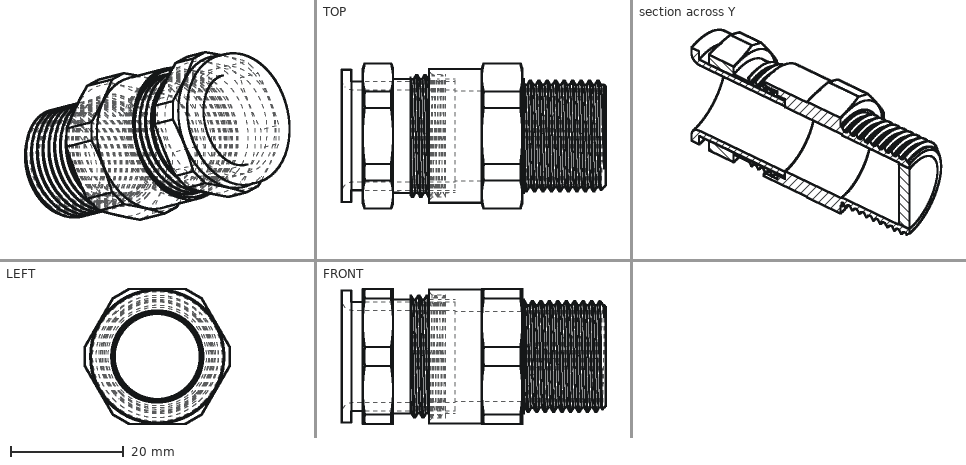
import cadquery as cq
import math


overall_length = 46.95
flange_end = 1.75
nut_hex_start = 3.75
nut_hex_end = 9.15
nut_thread_start = 12.2
body_start = 15.5
recess_end = 18.5
spigot_end = 20.2
body_hex_start = 24.9
body_hex_end = 32.1
collar_end = 32.4
plug_seat = 44.6

across_flats = 24.0
across_corners = 25.78
hex_face_diameter = 23.85
hex_chamfer_slope = 0.35

flange_diameter = 23.5
flange_round = 0.15
bushing_diameter = 19.4
bushing_bore = 16.4
mouth_diameter = 20.3
mouth_radius = (mouth_diameter - bushing_bore) / 2

shoulder_diameter = 20.3
recess_diameter = 21.8
recess_mouth_diameter = 23.0
body_bore = 16.05
plug_bore = 15.6
plug_diameter = 15.1
bore_step = collar_end
end_face_diameter = 17.5

pitch = 1.5
thread_crest_width = 0.15
thread_root_width = 1.05
thread_overlap = 0.1
nut_root_diameter = 20.2
nut_crest_diameter = 21.75
nut_crest_on_top = 12.2
body_root_diameter = 18.2
body_crest_diameter = 19.7
body_crest_on_top = 32.4


def cylinder(diameter, start, end):
    """Round bar along X between two stations."""
    return cq.Workplane("YZ", origin=(start, 0, 0)).circle(diameter / 2).extrude(end - start)


def revolve_about_x(profile):
    """Full turn about X of a closed profile drawn in XY as (station, radius)."""
    return profile.revolve(360, (0, 0, 0), (1, 0, 0))


def cut_corner_hex(start, end):
    """Hexagon with flats on +Z and -Z, corners cut flat and both ends chamfered by a cone."""
    length = end - start
    plane = cq.Workplane("YZ", origin=(start, 0, 0))
    hexagon = plane.polygon(6, across_flats / math.cos(math.pi / 6)).extrude(length)
    corner_cutter = (
        plane.transformed(rotate=(0, 0, 30))
        .polygon(6, across_corners / math.cos(math.pi / 6))
        .extrude(length)
    )
    face_radius = hex_face_diameter / 2
    rim_radius = across_corners / 2 + 0.45
    chamfer_length = (rim_radius - face_radius) * hex_chamfer_slope
    chamfer_envelope = revolve_about_x(
        cq.Workplane("XY").polyline([
            (start, 0),
            (start, face_radius),
            (start + chamfer_length, rim_radius),
            (end - chamfer_length, rim_radius),
            (end, face_radius),
            (end, 0),
        ]).close()
    )
    return hexagon.intersect(corner_cutter).intersect(chamfer_envelope)


def thread_ridge(root_diameter, crest_diameter, crest_on_top, start, end):
    """Right-hand helical ridge along X, trimmed flat at both stations."""
    first_crest = crest_on_top - 1.5 * pitch
    turns = math.ceil((end - first_crest) / pitch) + 1
    inner_radius = root_diameter / 2 - thread_overlap
    crest_radius = crest_diameter / 2
    flank_slope = (thread_root_width - thread_crest_width) / (crest_diameter - root_diameter)
    half_base = thread_root_width / 2 + thread_overlap * flank_slope
    half_crest = thread_crest_width / 2
    helix = cq.Wire.makeHelix(pitch, turns * pitch, inner_radius)
    ridge = (
        cq.Workplane("XZ")
        .polyline([
            (inner_radius, -half_base),
            (crest_radius, -half_crest),
            (crest_radius, half_crest),
            (inner_radius, half_base),
        ])
        .close()
        .sweep(cq.Workplane(helix), isFrenet=True)
        .rotate((0, 0, 0), (0, 1, 0), 90)
        .translate((first_crest, 0, 0))
    )
    return ridge.intersect(cylinder(2 * crest_diameter, start, end))


def make_bushing():
    """Flanged tube with a rounded mouth."""
    flange = cylinder(flange_diameter, 0, flange_end).edges().fillet(flange_round)
    tube = cylinder(bushing_diameter, flange_end, spigot_end)
    bore = cylinder(bushing_bore, 0, spigot_end)
    bushing = flange.union(tube).cut(bore)
    mouth = revolve_about_x(
        cq.Workplane("XY")
        .lineTo(0, mouth_diameter / 2)
        .radiusArc((mouth_radius, bushing_bore / 2), -mouth_radius)
        .lineTo(mouth_radius, 0)
        .close()
    )
    return bushing.cut(mouth)


def make_nut():
    """Hexagon nut with a threaded spigot that plugs into the body."""
    neck = cylinder(shoulder_diameter, nut_hex_end, nut_thread_start)
    spigot = cylinder(nut_root_diameter, nut_thread_start, spigot_end)
    ridge = thread_ridge(
        nut_root_diameter, nut_crest_diameter, nut_crest_on_top, nut_thread_start, recess_end
    )
    bore = cylinder(bushing_diameter, nut_hex_start, spigot_end)
    return cut_corner_hex(nut_hex_start, nut_hex_end).union(neck).union(spigot).union(ridge).cut(bore)


def make_body():
    """Sleeve, hexagon and threaded end, with a clearance recess and a stepped bore."""
    sleeve = cylinder(hex_face_diameter, body_start, body_hex_start)
    collar = cylinder(shoulder_diameter, body_hex_end, collar_end)
    shank = cylinder(body_root_diameter, collar_end, overall_length)
    ridge = thread_ridge(
        body_root_diameter, body_crest_diameter, body_crest_on_top, collar_end, overall_length
    )
    end_radius = end_face_diameter / 2
    end_cone = revolve_about_x(
        cq.Workplane("XY").polyline([
            (collar_end, 0),
            (collar_end, end_radius + overall_length - collar_end),
            (overall_length, end_radius),
            (overall_length, 0),
        ]).close()
    )
    threaded_end = shank.union(ridge).intersect(end_cone)
    body = sleeve.union(cut_corner_hex(body_hex_start, body_hex_end)).union(collar).union(threaded_end)
    bores = [
        cylinder(recess_diameter, body_start, recess_end),
        cylinder(nut_root_diameter, recess_end, spigot_end),
        cylinder(body_bore, spigot_end, bore_step),
        cylinder(plug_bore, bore_step, plug_seat),
        cylinder(plug_diameter, plug_seat, overall_length),
    ]
    for bore in bores:
        body = body.cut(bore)
    mouth_depth = (recess_mouth_diameter - recess_diameter) / 2
    countersink = revolve_about_x(
        cq.Workplane("XY").polyline([
            (body_start, 0),
            (body_start, recess_mouth_diameter / 2),
            (body_start + mouth_depth, recess_diameter / 2),
            (body_start + mouth_depth, 0),
        ]).close()
    )
    return body.cut(countersink)


def make_plug():
    """Disc that closes the threaded end."""
    return cylinder(plug_diameter, plug_seat, overall_length)


bushing = make_bushing()
nut = make_nut()
body = make_body()
plug = make_plug()

result = cq.Compound.makeCompound([bushing.val(), nut.val(), body.val(), plug.val()])